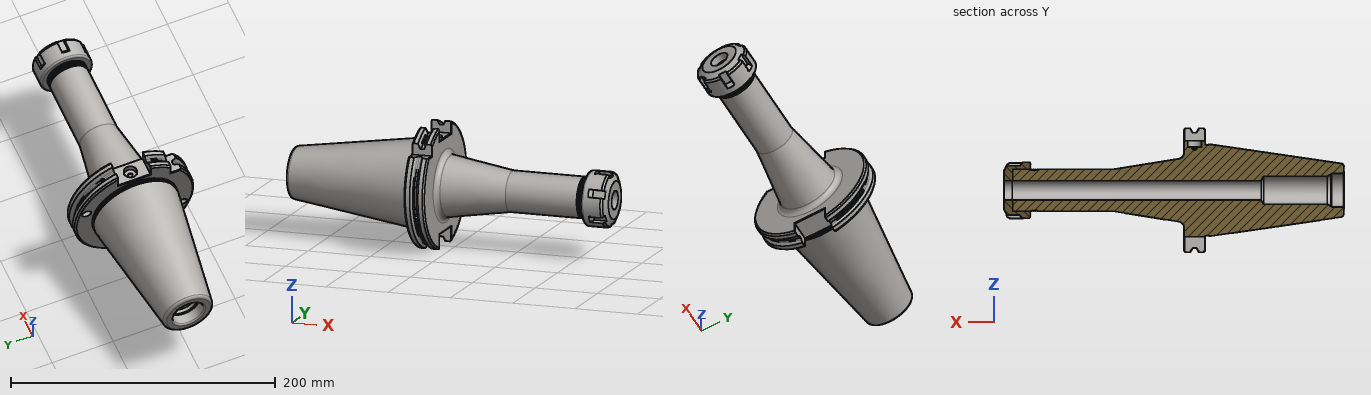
import cadquery as cq
import math


taper_length = 101.7
gauge_radius = 35.0
taper_ratio = 7 / 24
taper_end_radius = gauge_radius - taper_length * taper_ratio / 2
taper_end_fillet = 2.0

flange_start = 104.8
flange_width = 16.2
flange_radius = 48.72
flange_chamfer = 1.3
flange_end = flange_start + flange_width
flange_middle = flange_start + flange_width / 2

relief_depth = 0.65
relief_wall = (flange_start - taper_length) / 3

groove_depth = 3.2
groove_mouth_width = 6.7
groove_wall_depth = 2.5
groove_wall_gap = 3.5
groove_floor_width = 1.5
groove_floor_radius = flange_radius - groove_depth

shank_cone_start = 124.8
shank_cone_radius = 24.0
shank_cone_end = 174.5
shank_radius = 16.0
holder_end = 250.5
shank_cone_slope = (shank_cone_radius - shank_radius) / (shank_cone_end - shank_cone_start)

thread_start = 231.7
thread_pitch = 1.5
thread_depth = 0.8
thread_count = 3

bore_radius = 7.2
mouth_radius = 13.9
counterbore_radius = 12.5
counterbore_depth = 9.2
step_radius = 11.8
step_length = 0.8
tapped_radius = 10.5
tapped_chamfer_length = 2.5
tapped_depth = 51.4
bore_cone_length = 2.0

key_slot_width = 26.2
upper_slot_floor = 37.5
lower_slot_floor = 35.2
corner_notch_side = 29.8
slot_chamfer = 0.5

chip_hole_radius = 5.1
chip_hole_depth = 4.5
chip_pilot_radius = 1.93
chip_pilot_depth = 1.3
chip_pilot_tip = 1.3

coolant_angle = 20.0
coolant_circle_radius = 41.9
coolant_hole_radius = 3.0
coolant_tilt = 36.0
coolant_depth = 10.3
groove_hole_radius = 1.3
cross_hole_depth = 9.0
dimple_angle = 60.0
dimple_depth = 2.5

nut_start = 236.8
nut_end = 256.8
nut_radius = 21.3
nut_rear_fillet = 1.5
nut_rim_start = 252.5
nut_rim_end = 254.3
nut_rim_radius = 20.3
nut_face_radius = 14.6

wrench_slot_count = 6
wrench_slot_width = 6.2
wrench_slot_start = 242.5
wrench_slot_ramp = 2.8
wrench_slot_floor = 18.5
wrench_slot_angle = 5.5


def revolved(outline):
    """Turn a closed (x, radius) outline about the X axis."""
    return outline.close().revolve(360, (0, 0, 0), (1, 0, 0))


def at_angle(shape, angle):
    """Turn a shape about the tool axis."""
    return shape.rotate((0, 0, 0), (1, 0, 0), angle)


def holder_blank():
    """Taper shank, flange, conical neck and nose as one turned shape."""
    fillet_end_radius = taper_end_radius + taper_end_fillet * taper_ratio / 2
    fillet_bulge = taper_end_fillet * (1 - math.sqrt(0.5))
    relief_radius = gauge_radius - relief_depth
    groove_wall_radius = flange_radius - groove_wall_depth
    corner_radius = shank_cone_radius + (shank_cone_start - flange_end) * shank_cone_slope
    fillet_reach = math.hypot(shank_cone_start - flange_end, corner_radius - shank_cone_radius)
    outline = (
        cq.Workplane("XZ")
        .lineTo(0, taper_end_radius - taper_end_fillet)
        .threePointArc(
            (fillet_bulge, taper_end_radius - fillet_bulge),
            (taper_end_fillet, fillet_end_radius),
        )
        .lineTo(taper_length, gauge_radius)
        .lineTo(taper_length + relief_wall, relief_radius)
        .lineTo(flange_start - relief_wall, relief_radius)
        .lineTo(flange_start, gauge_radius)
        .lineTo(flange_start, flange_radius - flange_chamfer)
        .lineTo(flange_start + flange_chamfer, flange_radius)
        .lineTo(flange_middle - groove_mouth_width / 2, flange_radius)
        .lineTo(flange_middle - groove_wall_gap / 2, groove_wall_radius)
        .tangentArcPoint((flange_middle - groove_floor_width / 2, groove_floor_radius), relative=False)
        .lineTo(flange_middle + groove_floor_width / 2, groove_floor_radius)
        .tangentArcPoint((flange_middle + groove_wall_gap / 2, groove_wall_radius), relative=False)
        .lineTo(flange_middle + groove_mouth_width / 2, flange_radius)
        .lineTo(flange_end - flange_chamfer, flange_radius)
        .lineTo(flange_end, flange_radius - flange_chamfer)
        .lineTo(flange_end, corner_radius + fillet_reach)
        .tangentArcPoint((shank_cone_start, shank_cone_radius), relative=False)
        .lineTo(shank_cone_end, shank_radius)
        .lineTo(holder_end, shank_radius)
        .lineTo(holder_end, 0)
    )
    return revolved(outline)


def holder_bore():
    """Rounded mouth, counterbore, tapped hole and through bore."""
    mouth_fillet = mouth_radius - counterbore_radius
    fillet_bulge = mouth_fillet * (1 - math.sqrt(0.5))
    step_end = counterbore_depth + step_length
    tapped_end = counterbore_depth + tapped_depth
    outline = (
        cq.Workplane("XZ")
        .lineTo(0, mouth_radius)
        .threePointArc(
            (fillet_bulge, counterbore_radius + fillet_bulge),
            (mouth_fillet, counterbore_radius),
        )
        .lineTo(counterbore_depth, counterbore_radius)
        .lineTo(counterbore_depth, step_radius)
        .lineTo(step_end, step_radius)
        .lineTo(step_end + tapped_chamfer_length, tapped_radius)
        .lineTo(tapped_end, tapped_radius)
        .lineTo(tapped_end + bore_cone_length, bore_radius)
        .lineTo(holder_end, bore_radius)
        .lineTo(holder_end, 0)
    )
    return revolved(outline)


def thread_groove(index):
    """One V-shaped ring of the nose thread."""
    start = thread_start + index * thread_pitch
    outline = (
        cq.Workplane("XZ")
        .moveTo(start, shank_radius)
        .lineTo(start + thread_pitch / 2, shank_radius - thread_depth)
        .lineTo(start + thread_pitch, shank_radius)
    )
    return revolved(outline)


def flange_block(y_low, y_high, z_low, z_high):
    """Block across the flange that cuts a slot or notch and bevels its edges on both faces."""
    width = y_high - y_low
    height = z_high - z_low
    middle = (flange_middle, (y_low + y_high) / 2, (z_low + z_high) / 2)
    block = cq.Workplane("XY").box(flange_width, width, height)
    for side in (-1, 1):
        bevel = (
            cq.Workplane("YZ", origin=(side * flange_width / 2, 0, 0))
            .rect(width + 2 * slot_chamfer, height + 2 * slot_chamfer)
            .extrude(-side * slot_chamfer, taper=45)
        )
        block = block.union(bevel)
    return block.translate(middle)


def key_slots():
    """The two driving slots, of unequal depth."""
    half_width = key_slot_width / 2
    upper = flange_block(-half_width, half_width, upper_slot_floor, flange_radius)
    lower = flange_block(-half_width, half_width, -flange_radius, -lower_slot_floor)
    return upper.union(lower)


def corner_notch():
    """Square orientation notch in the -Y, +Z quarter of the flange."""
    return flange_block(-flange_radius, -corner_notch_side, corner_notch_side, flange_radius)


def chip_hole():
    """Round pocket in the floor of the upper slot, with a small pointed hole at its centre."""
    down = cq.Vector(0, 0, -1)
    mouth = cq.Vector(flange_middle, 0, upper_slot_floor)
    pocket_floor = mouth + down * chip_hole_depth
    pilot_end = pocket_floor + down * chip_pilot_depth
    pocket = cq.Solid.makeCylinder(chip_hole_radius, chip_hole_depth, mouth, down)
    pilot = cq.Solid.makeCylinder(chip_pilot_radius, chip_pilot_depth, pocket_floor, down)
    tip = cq.Solid.makeCone(chip_pilot_radius, 0, chip_pilot_tip, pilot_end, down)
    return cq.Workplane(pocket).union(cq.Workplane(pilot)).union(cq.Workplane(tip))


def groove_hole(depth, angle):
    """Small radial hole of the given depth below the groove floor."""
    hole = cq.Solid.makeCylinder(
        groove_hole_radius,
        groove_depth + depth,
        cq.Vector(flange_middle, flange_radius, 0),
        cq.Vector(0, -1, 0),
    )
    return at_angle(cq.Workplane(hole), angle)


def coolant_hole(angle):
    """Hole in the flange face, slanting towards the tool axis."""
    tilt = math.radians(coolant_tilt)
    direction = cq.Vector(math.cos(tilt), -math.sin(tilt), 0)
    mouth = cq.Vector(flange_start, coolant_circle_radius, 0)
    lead = 2 * coolant_hole_radius
    slanted = cq.Solid.makeCylinder(
        coolant_hole_radius, lead + coolant_depth, mouth - direction * lead, direction
    )
    return at_angle(cq.Workplane(slanted), angle)


def make_holder():
    holder = holder_blank().cut(holder_bore())
    for index in range(thread_count):
        holder = holder.cut(thread_groove(index))
    holder = holder.cut(key_slots()).cut(corner_notch())
    holder = holder.cut(chip_hole()).cut(groove_hole(dimple_depth, dimple_angle))
    for angle in (coolant_angle, coolant_angle + 180):
        holder = holder.cut(coolant_hole(angle)).cut(groove_hole(cross_hole_depth, angle))
    return holder


def wrench_slot(angle):
    """Slot open to the nut's front, with a ramp rising to the surface at its rear."""
    slot = (
        cq.Workplane("XZ")
        .moveTo(wrench_slot_start, nut_radius)
        .lineTo(wrench_slot_start + wrench_slot_ramp, wrench_slot_floor)
        .lineTo(nut_end, wrench_slot_floor)
        .lineTo(nut_end, nut_radius)
        .close()
        .extrude(wrench_slot_width / 2, both=True)
    )
    return at_angle(slot, angle)


def make_nut(holder):
    """Clamping nut, hollowed to fit over the holder's threaded nose."""
    fillet_bulge = nut_rear_fillet * (1 - math.sqrt(0.5))
    outline = (
        cq.Workplane("XZ")
        .moveTo(nut_start, bore_radius)
        .lineTo(nut_start, nut_radius - nut_rear_fillet)
        .threePointArc(
            (nut_start + fillet_bulge, nut_radius - fillet_bulge),
            (nut_start + nut_rear_fillet, nut_radius),
        )
        .lineTo(nut_rim_start, nut_radius)
        .lineTo(nut_rim_end, nut_rim_radius)
        .lineTo(nut_end, nut_face_radius)
        .lineTo(nut_end, bore_radius)
    )
    nut = revolved(outline)
    for index in range(wrench_slot_count):
        nut = nut.cut(wrench_slot(wrench_slot_angle + index * 360 / wrench_slot_count))
    return nut.cut(holder)


holder = make_holder()
nut = make_nut(holder)

result = cq.Compound.makeCompound([holder.val(), nut.val()])